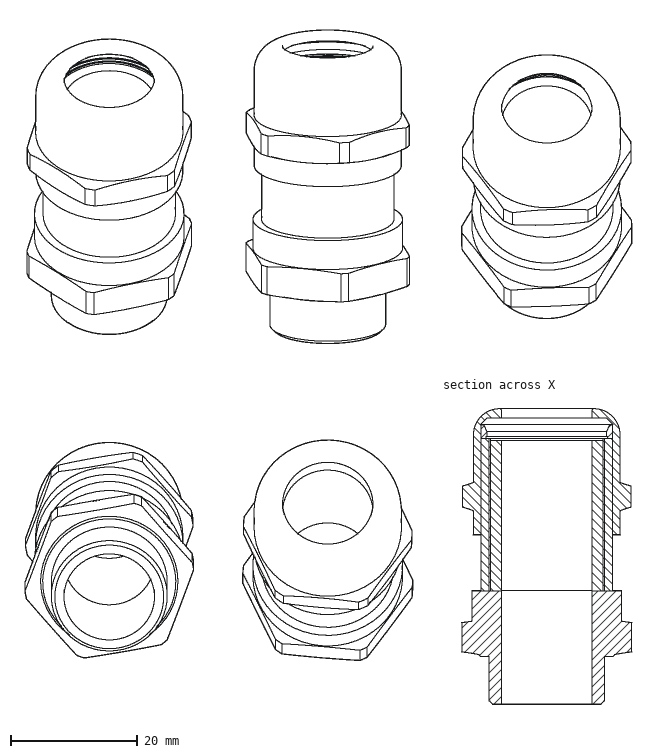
import cadquery as cq
import math


total_height = 46.95
bore_radius = 7.2
hex_across_flats = 24.0

spigot_radius = 9.2
spigot_chamfer = 0.55
connector_hex_across_corners = 27.0
seat_bottom = 7.55
seat_radius = 10.55
connector_hex_bottom = 7.9
connector_hex_top = 13.25
connector_hex_bottom_radius = 10.9
connector_hex_angle = 9.5
collar_radius = 11.85
collar_top = 18.0

sleeve_radius = 10.5
liner_radius = 9.15
insert_radius = 8.9
sleeve_top = 42.2
insert_top = 41.85

ring_bore_radius = 9.5
ring_recess_radius = 9.6
ring_recess_height = 0.3
ring_cone_bottom = 43.25
ring_cone_radius = 9.95
ring_top = 44.35

cap_radius = 11.7
cap_bottom = 26.9
cap_hex_bottom = 30.7
cap_hex_top = 35.2
cap_hex_across_corners = 26.8
cap_hex_angle = 18.5
mouth_fillet = 0.3
dome_radius = cap_radius - bore_radius - mouth_fillet
lip_bottom = 45.4


def revolve(profile):
    """Close a (radius, z) outline on the XZ plane and turn it around the Z axis."""
    return profile.close().revolve(360, (0, 0, 0), (0, 1, 0))


def tube(outer_radius, inner_radius, bottom, top):
    """Plain ring between two heights."""
    section = cq.Workplane("XY", origin=(0, 0, bottom)).circle(outer_radius).circle(inner_radius)
    return section.extrude(top - bottom)


def chamfered_hexagon(bottom, top, across_corners, bottom_edge, top_edge):
    """Solid hexagon with corners cut by a cylinder and both ends by shallow cones.

    Each edge is (radius, angle): where the cone starts on the end face and its slope in degrees.
    """
    corner_radius = across_corners / 2
    sharp_across_corners = hex_across_flats / math.cos(math.radians(30))
    prism = (
        cq.Workplane("XY", origin=(0, 0, bottom))
        .transformed(rotate=(0, 0, 30))
        .polygon(6, sharp_across_corners)
        .extrude(top - bottom)
    )
    bottom_radius, bottom_angle = bottom_edge
    top_radius, top_angle = top_edge
    bottom_rise = (corner_radius - bottom_radius) * math.tan(math.radians(bottom_angle))
    top_drop = (corner_radius - top_radius) * math.tan(math.radians(top_angle))
    envelope = revolve(
        cq.Workplane("XZ")
        .moveTo(0, bottom)
        .lineTo(bottom_radius, bottom)
        .lineTo(corner_radius, bottom + bottom_rise)
        .lineTo(corner_radius, top - top_drop)
        .lineTo(top_radius, top)
        .lineTo(0, top)
    )
    return prism.intersect(envelope)


def make_connector():
    """Spigot, conical seat, hexagon and collar with one straight bore."""
    spigot = (
        cq.Workplane("XY")
        .circle(spigot_radius)
        .extrude(seat_bottom)
        .faces("<Z")
        .chamfer(spigot_chamfer)
    )
    seat = revolve(
        cq.Workplane("XZ")
        .moveTo(0, seat_bottom)
        .lineTo(seat_radius, seat_bottom)
        .lineTo(connector_hex_bottom_radius, connector_hex_bottom)
        .lineTo(0, connector_hex_bottom)
    )
    hexagon = chamfered_hexagon(
        connector_hex_bottom,
        connector_hex_top,
        connector_hex_across_corners,
        (connector_hex_bottom_radius, connector_hex_angle),
        (collar_radius, connector_hex_angle),
    )
    collar = (
        cq.Workplane("XY", origin=(0, 0, connector_hex_top))
        .circle(collar_radius)
        .extrude(collar_top - connector_hex_top)
    )
    bore = cq.Workplane("XY").circle(bore_radius).extrude(collar_top)
    return spigot.union(seat).union(hexagon).union(collar).cut(bore)


def make_pressure_ring():
    """Ring with a steep entry cone on top and a shallow recess underneath."""
    recess_top = sleeve_top + ring_recess_height
    return revolve(
        cq.Workplane("XZ")
        .moveTo(ring_recess_radius, sleeve_top)
        .lineTo(sleeve_radius, sleeve_top)
        .lineTo(sleeve_radius, ring_top)
        .lineTo(ring_cone_radius, ring_top)
        .lineTo(ring_bore_radius, ring_cone_bottom)
        .lineTo(ring_bore_radius, recess_top)
        .lineTo(ring_recess_radius, recess_top)
    )


def make_cap():
    """Dome nut: rounded shell with a hexagon, open at both ends."""
    dome_start = total_height - dome_radius
    dome_center_radius = cap_radius - dome_radius
    dome_diagonal = dome_radius * math.sin(math.radians(45))
    shell = revolve(
        cq.Workplane("XZ")
        .moveTo(0, cap_bottom)
        .lineTo(cap_radius, cap_bottom)
        .lineTo(cap_radius, dome_start)
        .threePointArc(
            (dome_center_radius + dome_diagonal, dome_start + dome_diagonal),
            (dome_center_radius, total_height),
        )
        .lineTo(0, total_height)
    )
    hexagon = chamfered_hexagon(
        cap_hex_bottom,
        cap_hex_top,
        cap_hex_across_corners,
        (cap_radius, cap_hex_angle),
        (cap_radius, cap_hex_angle),
    )
    return shell.union(hexagon).cut(make_cap_cavity())


def make_cap_cavity():
    """Space inside the cap: wide bore, 45 degree roof, and a mouth with a rounded rim."""
    roof_radius = sleeve_radius - (lip_bottom - ring_top)
    mouth_radius = bore_radius + mouth_fillet
    fillet_start = total_height - mouth_fillet
    fillet_diagonal = mouth_fillet * math.sin(math.radians(45))
    return revolve(
        cq.Workplane("XZ")
        .moveTo(0, cap_bottom)
        .lineTo(sleeve_radius, cap_bottom)
        .lineTo(sleeve_radius, ring_top)
        .lineTo(roof_radius, lip_bottom)
        .lineTo(bore_radius, lip_bottom)
        .lineTo(bore_radius, fillet_start)
        .threePointArc(
            (mouth_radius - fillet_diagonal, fillet_start + fillet_diagonal),
            (mouth_radius, total_height),
        )
        .lineTo(0, total_height)
    )


connector = make_connector()
sleeve = tube(sleeve_radius, liner_radius, collar_top, sleeve_top)
liner = tube(liner_radius, insert_radius, collar_top, sleeve_top)
insert = tube(insert_radius, bore_radius, collar_top, insert_top)
pressure_ring = make_pressure_ring()
cap = make_cap()

bodies = [connector, sleeve, liner, insert, pressure_ring, cap]
result = cq.Compound.makeCompound([body.solids().val() for body in bodies])